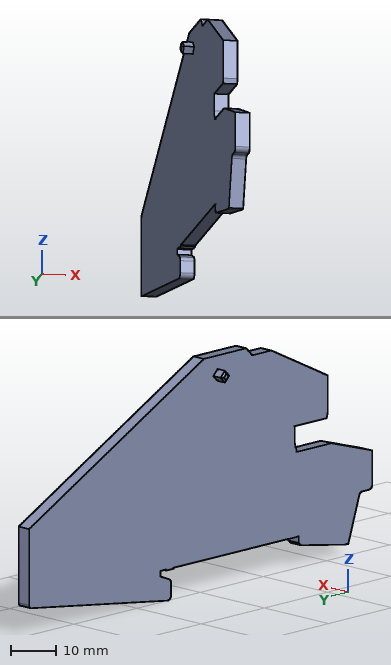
import cadquery as cq

length = 108.8
height = 53.3
thickness = 3.3

rear_edge_top = 24.4
peak_rear = 53.4
peak_front = 39.9
shoulder_z = 51.3
shoulder_rear = 38.1
shoulder_front = 32.0

nose_y = 14.1
nose_top = 42.4
nose_bottom = 32.6
nose_taper_y = 0.3
nose_taper_z = 1.2
notch_y = 24.6
notch_bottom = 26.7
notch_bevel_y = 0.7
notch_bevel_z = 2.2

lower_slope_rear = 13.0
lower_nose_top = 22.6
lower_nose_bottom = 13.8
lower_nose_radius = 1.1
foot_root_radius = 1.0

foot_front_top_y = 3.9
foot_front_y = 7.6
foot_bottom = 2.6
foot_flat = 1.1
foot_rear_y = 23.3
foot_rear_z = 5.0
foot_chamfer = 0.7

seat_z = 7.2
pad_depth = 0.2
pad_front = 62.9
pad_rear = 65.3

hook_slot_y = 67.1
hook_slot_z = 6.0
hook_tip_y = 63.7
hook_tip_z = 4.6
hook_corner_z = -0.16
hook_radius = 1.1
rear_bottom_z = 6.2
rear_corner_radius = 0.9

pin_y = 49.1
pin_z = 48.8
pin_diagonal = 2.7
pin_length = 2.7
pin_chamfer = 0.4


def make_plate():
    outline = [
        (length, rear_edge_top),
        (peak_rear, height),
        (peak_front, height),
        (shoulder_rear, shoulder_z),
        (shoulder_front, shoulder_z),
        (nose_y, nose_top),
        (nose_y, nose_bottom + nose_taper_z),
        (nose_y + nose_taper_y, nose_bottom),
        (notch_y, nose_bottom),
        (notch_y, notch_bottom + notch_bevel_z),
        (notch_y - notch_bevel_y, notch_bottom),
        (lower_slope_rear, notch_bottom),
        (0, lower_nose_top),
        (0, lower_nose_bottom),
        (foot_front_top_y, lower_nose_bottom),
        (foot_front_y, foot_bottom),
        (foot_front_y + foot_flat, foot_bottom),
        (foot_rear_y - foot_chamfer, foot_rear_z),
        (foot_rear_y, foot_rear_z + foot_chamfer),
        (foot_rear_y, seat_z),
        (pad_front, seat_z),
        (pad_front, seat_z - pad_depth),
        (pad_rear, seat_z - pad_depth),
        (pad_rear, seat_z),
        (hook_slot_y, seat_z),
        (hook_slot_y, hook_slot_z),
        (hook_tip_y, hook_tip_z),
        (hook_tip_y, hook_corner_z),
        (length, rear_bottom_z),
    ]
    plate = cq.Workplane("YZ").polyline(outline).close().extrude(thickness)
    rounded_corners = [
        (hook_tip_y, hook_tip_z, hook_radius),
        (hook_tip_y, hook_corner_z, hook_radius),
        (length, rear_bottom_z, rear_corner_radius),
        (0, lower_nose_bottom, lower_nose_radius),
        (foot_front_top_y, lower_nose_bottom, foot_root_radius),
    ]
    for y, z, radius in rounded_corners:
        corner = cq.selectors.NearestToPointSelector((thickness / 2, y, z))
        plate = plate.edges("|X").edges(corner).fillet(radius)
    return plate


def make_pin():
    pin = (
        cq.Workplane("YZ", origin=(0, pin_y, pin_z))
        .polygon(4, pin_diagonal)
        .extrude(-pin_length)
    )
    return pin.faces("<X").chamfer(pin_chamfer)


result = make_plate().union(make_pin())